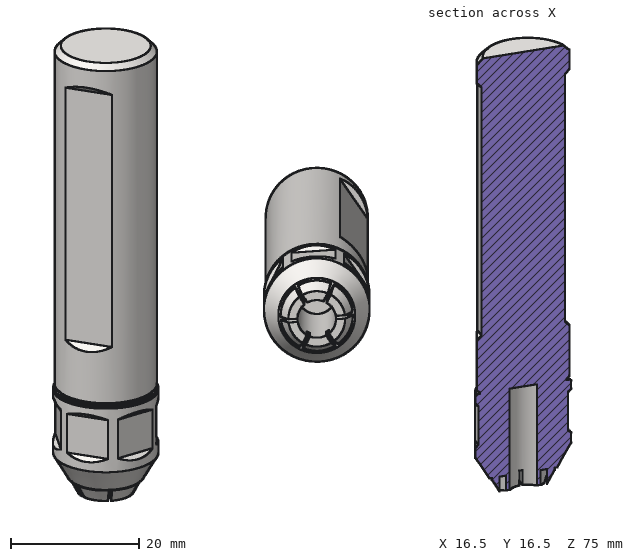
import cadquery as cq
import math

total_height = 75.0

shank_diameter = 16.0
shank_bottom = 18.0
shank_top_chamfer = 1.0
clamp_flat_offset = 7.0
clamp_flat_bottom = 27.45
clamp_flat_top = 70.0

nut_diameter = 16.5
nut_top = 17.4
nut_top_chamfer = 0.2
nut_cone_top = 6.45
nut_bottom = 2.55
nut_cone_half_angle = 30.0
neck_diameter = 15.0
wrench_size = 15.0
wrench_flat_bottom = 8.7
wrench_flat_top = 15.2
wrench_flat_count = 6

nose_diameter = 11.25
nose_tip_diameter = 8.85
nose_rim_height = 2.25
collet_bore_diameter = 6.0
slot_width = 0.5
slot_count = 6


def revolved_body():
    """Shank, nut and collet nose turned from one half profile."""
    shank_radius = shank_diameter / 2
    nut_radius = nut_diameter / 2
    neck_radius = neck_diameter / 2
    nose_radius = nose_diameter / 2
    cone_rise = nut_cone_top - nut_bottom
    nut_bottom_radius = nut_radius - cone_rise * math.tan(math.radians(nut_cone_half_angle))
    shank_bottom_chamfer = shank_radius - neck_radius
    half_profile = [
        (0, 0),
        (nose_tip_diameter / 2, 0),
        (nose_radius, nose_rim_height),
        (nose_radius, nut_bottom),
        (nut_bottom_radius, nut_bottom),
        (nut_radius, nut_cone_top),
        (nut_radius, nut_top - nut_top_chamfer),
        (nut_radius - nut_top_chamfer, nut_top),
        (neck_radius, nut_top),
        (neck_radius, shank_bottom - shank_bottom_chamfer),
        (shank_radius, shank_bottom),
        (shank_radius, total_height - shank_top_chamfer),
        (shank_radius - shank_top_chamfer, total_height),
        (0, total_height),
    ]
    return cq.Workplane("XZ").polyline(half_profile).close().revolve(360, (0, 0), (0, 1))


def flat_cutter(offset, bottom, top):
    """Cutter for a flat facing -Y, with end walls that flare outwards at 45 degrees."""
    reach = nut_diameter
    flare = reach - offset
    side = [
        (-offset, bottom),
        (-reach, bottom - flare),
        (-reach, top + flare),
        (-offset, top),
    ]
    return cq.Workplane("YZ").polyline(side).close().extrude(nut_diameter / 2, both=True)


def cut_around(body, cutter, count):
    """Cut copies of the cutter, evenly spaced about the Z axis."""
    for index in range(count):
        body = body.cut(cutter.rotate((0, 0, 0), (0, 0, 1), index * 360 / count))
    return body


def collet_slot():
    """Radial slot through one side of the collet nose, along +X."""
    length = nose_diameter / 2
    return cq.Workplane("XY").box(length, slot_width, nut_bottom, centered=(False, True, False))


result = revolved_body()

clamp_flat = flat_cutter(clamp_flat_offset, clamp_flat_bottom, clamp_flat_top)
result = cut_around(result, clamp_flat, 2)

wrench_flat = flat_cutter(wrench_size / 2, wrench_flat_bottom, wrench_flat_top)
result = cut_around(result, wrench_flat, wrench_flat_count)

collet_bore = cq.Workplane("XY").circle(collet_bore_diameter / 2).extrude(nut_top)
result = result.cut(collet_bore)

result = cut_around(result, collet_slot(), slot_count)